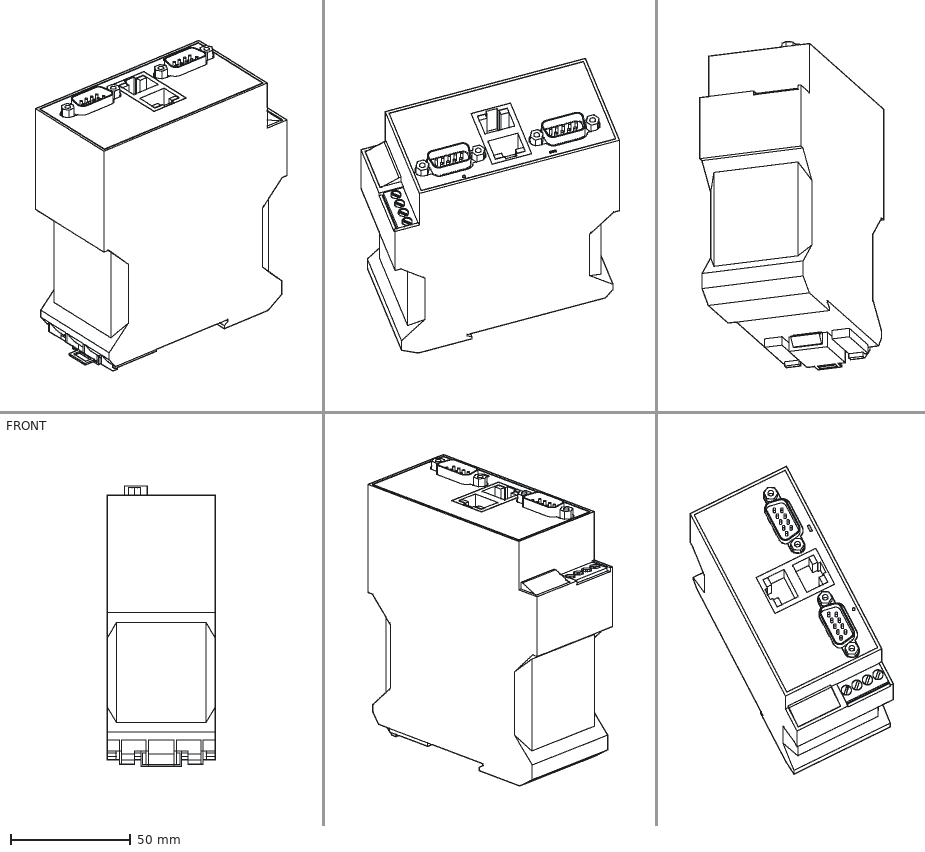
import cadquery as cq
import math

OVERLAP = 0.4

WIDTH = 45.2
DEPTH = 99.0
TOTAL_HEIGHT = 117.5
HALF_WIDTH = WIDTH / 2
ROOF_Z = 113.6
STEP_Y = 88.4
STEP_Z = 91.6
SHOULDER_Z = 64.5
SHOULDER_LEDGE = 2.6
WAIST_INSET = 13.2
WAIST_TOP_Z = 53.7
WAIST_BOTTOM_Z = 24.9
FOOT_INSET = 2.8
FOOT_TOP_Z = 14.5
FOOT_EDGE_Z = 11.0
SOLE_Z = 6.5
SOLE_FRONT_Y = 6.2
HEEL_Z = 2.7
HEEL_BACK_Y = 88.8
HEEL_EDGE_Z = 7.8
HOOK_ROOT_Y = 67.2
HOOK_TIP_Y = 65.1
HOOK_TOP_Z = 5.6
HOOK_LIP_Z = 4.2

CORE_INSET = 6.8
CORE_HALF_WIDTH = 18.8

RIM = 1.3
PANEL_SINK = 0.2
PANEL_Z = ROOF_Z - PANEL_SINK
PANEL_LENGTH = STEP_Y - 2 * RIM

DSUB_X = -11.2
DSUB_Y = (70.9, 20.5)
DSUB_FLOOR_Z = 111.9
SHELL_OFFSET = 0.6
SHELL_WIDTH = 9.6
SHELL_LONG_HALF = 9.6
SHELL_SLANT = math.radians(10)
SHELL_CORNER_RADIUS = 2.7
SHELL_WALL = 0.5
CUTOUT_MARGIN = 0.76
NUT_OFFSET = 12.3
NUT_FLATS = 4.9
NUT_TOP_Z = 116.7
NUT_HOLE_RADIUS = 1.2
EAR_RADIUS = 3.2
PIN_PITCH = 2.8
PIN_OFFSET = 0.29
PIN_COLUMN_OFFSET = 1.4
PIN_RADIUS = 0.53
PIN_TOP_Z = 116.0

SOCKET_X = -3.58
SOCKET_Y = 45.8
SOCKET_WIDTH = 28.0
SOCKET_LENGTH = 17.4
SOCKET_RAISE = 0.1
PORT_OFFSET = 6.9
PORT_WIDTH = 9.9
PORT_LENGTH = 13.2
PORT_DEPTH = 14.1
LATCH_WIDTH = 1.2
LATCH_LENGTH = 4.9
LAMP_WIDTH = 2.2
LAMP_LENGTH = 3.5
LAMP_SINK = 0.2

INDICATOR_DEPTH = 0.6
ROUND_INDICATOR = (-19.9, 67.7)
ROUND_INDICATOR_RADIUS = 0.6
BAR_INDICATOR = (-19.3, 28.2)
BAR_INDICATOR_WIDTH = 0.9
BAR_INDICATOR_LENGTH = 2.7

POCKET_BACK_Y = 97.6
POCKET_Z = 91.1
DIVIDER_HALF = 1.4
BACK_LEDGE_Z = 89.9
GAP_WIDTH = 0.5
GAP_DEPTH = 2.4
WEDGE_TOP_Z = 94.7
WEDGE_CREST_Y = 89.3
SCREW_COUNT = 4
SCREW_PITCH = 4.9
FIRST_SCREW_X = -18.7
SCREW_Y = 92.5
SCREW_RADIUS = 2.1
SCREW_SINK = 0.7
SCREW_SLOT_WIDTH = 0.9
SCREW_SLOT_DEPTH = 0.7

CLIP_BOTTOM_Z = 0.8
CLIP_FRONT_Y = 9.0
CLIP_NOTCH_Z = 5.2
SOLE_SLOPE = (SOLE_FRONT_Y - FOOT_INSET) / (FOOT_EDGE_Z - SOLE_Z)
CLIP_NOTCH_Y = SOLE_FRONT_Y + (SOLE_Z - CLIP_NOTCH_Z) * SOLE_SLOPE
NOSE_TIP_Y = 33.8
NOSE_BACK_Y = 30.9
NOSE_TOP_Z = 5.5
NOSE_TIP_Z = 4.9
NOSE_BOTTOM_Z = 1.4
SIDE_CLIP_BACK_Y = 11.4
SIDE_CLIP_INNER_X = 11.2
SIDE_CLIP_OUTER_X = 17.5
CENTRE_CLIP_HALF = 6.3
SIDE_RIB_THICKNESS = 0.8
CENTRE_RIB_THICKNESS = 1.0
GUIDE_OUTER_X = 18.9
GUIDE_FRONT_Y = 8.9
GUIDE_BACK_Y = 31.4
SLIDER_HALF = 8.6
SLIDER_WALL = 0.8
SLIDER_FRONT_Y = 8.5
SLIDER_BACK_Y = 30.1
SLIDER_BORE_DEPTH = 5.9
TAB_FRONT_Y = 4.0
TAB_HALF_WIDTH = 5.3
TAB_BAR = 1.4
TAB_THICKNESS = SLIDER_WALL


def box(x0, x1, y0, y1, z0, z1):
    """Box between opposite corners."""
    return cq.Workplane("XY").box(x1 - x0, y1 - y0, z1 - z0, centered=False).translate((x0, y0, z0))


def side_plate(points, x0, x1):
    """Outline of (y, z) points extruded from x0 to x1."""
    return cq.Workplane("YZ").workplane(offset=x0).polyline(points).close().extrude(x1 - x0)


def make_housing():
    outline = [
        (0, ROOF_Z),
        (0, SHOULDER_Z),
        (SHOULDER_LEDGE, SHOULDER_Z),
        (WAIST_INSET, WAIST_TOP_Z),
        (WAIST_INSET, WAIST_BOTTOM_Z),
        (FOOT_INSET, FOOT_TOP_Z),
        (FOOT_INSET, FOOT_EDGE_Z),
        (SOLE_FRONT_Y, SOLE_Z),
        (HOOK_ROOT_Y, SOLE_Z),
        (HOOK_ROOT_Y, HOOK_TOP_Z),
        (HOOK_TIP_Y, HOOK_LIP_Z),
        (HOOK_TIP_Y, HEEL_Z),
        (HEEL_BACK_Y, HEEL_Z),
        (DEPTH - FOOT_INSET, HEEL_EDGE_Z),
        (DEPTH - FOOT_INSET, FOOT_TOP_Z),
        (DEPTH - WAIST_INSET, WAIST_BOTTOM_Z),
        (DEPTH - WAIST_INSET, WAIST_TOP_Z),
        (DEPTH - SHOULDER_LEDGE, SHOULDER_Z),
        (DEPTH, SHOULDER_Z),
        (DEPTH, STEP_Z),
        (STEP_Y, STEP_Z),
        (STEP_Y, ROOF_Z),
    ]
    core_outline = [
        (-CORE_HALF_WIDTH, CORE_INSET),
        (CORE_HALF_WIDTH, CORE_INSET),
        (HALF_WIDTH, WAIST_INSET),
        (HALF_WIDTH, DEPTH - WAIST_INSET),
        (CORE_HALF_WIDTH, DEPTH - CORE_INSET),
        (-CORE_HALF_WIDTH, DEPTH - CORE_INSET),
        (-HALF_WIDTH, DEPTH - WAIST_INSET),
        (-HALF_WIDTH, WAIST_INSET),
    ]
    core = (
        cq.Workplane("XY").workplane(offset=FOOT_TOP_Z)
        .polyline(core_outline).close().extrude(SHOULDER_Z - FOOT_TOP_Z)
    )
    panel = box(RIM - HALF_WIDTH, HALF_WIDTH - RIM, RIM, RIM + PANEL_LENGTH, PANEL_Z, ROOF_Z)
    return side_plate(outline, -HALF_WIDTH, HALF_WIDTH).union(core).cut(panel)


def d_prism(x, y, margin, z0, z1):
    """D-shaped prism, longer on the +X side, grown outwards by margin."""
    half = SHELL_WIDTH / 2 + margin
    slope = math.tan(SHELL_SLANT)
    middle_half = SHELL_LONG_HALF - SHELL_WIDTH / 2 * slope + margin / math.cos(SHELL_SLANT)
    long_half = middle_half + half * slope
    short_half = middle_half - half * slope
    outline = [(-half, -short_half), (half, -long_half), (half, long_half), (-half, short_half)]
    prism = cq.Workplane("XY").polyline(outline).close().extrude(z1 - z0)
    prism = prism.edges("|Z").fillet(SHELL_CORNER_RADIUS + margin)
    return prism.translate((x, y, z0))


def add_dsub(body, y):
    height = TOTAL_HEIGHT - DSUB_FLOOR_Z
    nut_points = [(DSUB_X, y - NUT_OFFSET), (DSUB_X, y + NUT_OFFSET)]
    base = cq.Workplane("XY").workplane(offset=DSUB_FLOOR_Z)

    ears = base.center(DSUB_X, y).slot2D(2 * (NUT_OFFSET + EAR_RADIUS), 2 * EAR_RADIUS, 90).extrude(height)
    body = body.cut(d_prism(DSUB_X, y, CUTOUT_MARGIN, DSUB_FLOOR_Z, TOTAL_HEIGHT)).cut(ears)

    shell_x = DSUB_X + SHELL_OFFSET
    root_z = DSUB_FLOOR_Z - OVERLAP
    shell = d_prism(shell_x, y, 0, root_z, TOTAL_HEIGHT)
    shell_bore = d_prism(shell_x, y, -SHELL_WALL, DSUB_FLOOR_Z, TOTAL_HEIGHT)
    body = body.union(shell.cut(shell_bore))

    nut_base = cq.Workplane("XY").workplane(offset=root_z)
    nut_height = NUT_TOP_Z - root_z
    nut_corners = NUT_FLATS / math.cos(math.pi / 6)
    nut = nut_base.polygon(6, nut_corners).circle(NUT_HOLE_RADIUS).extrude(nut_height)
    nut = nut.rotate((0, 0, 0), (0, 0, 1), 90)
    for x, nut_y in nut_points:
        body = body.union(nut.translate((x, nut_y, 0)))

    pin_points = []
    for side, count in ((-1, 4), (1, 5)):
        for i in range(count):
            pin_y = y + (i - (count - 1) / 2) * PIN_PITCH
            pin_points.append((DSUB_X + PIN_OFFSET + side * PIN_COLUMN_OFFSET, pin_y))
    pins = nut_base.pushPoints(pin_points).circle(PIN_RADIUS).extrude(PIN_TOP_Z - root_z)
    return body.union(pins)


def add_network_socket(body):
    top_z = PANEL_Z + SOCKET_RAISE
    floor_z = top_z - PORT_DEPTH
    half_length = PORT_LENGTH / 2
    body = body.union(
        box(
            SOCKET_X - SOCKET_WIDTH / 2, SOCKET_X + SOCKET_WIDTH / 2,
            SOCKET_Y - SOCKET_LENGTH / 2, SOCKET_Y + SOCKET_LENGTH / 2,
            PANEL_Z - OVERLAP, top_z,
        )
    )
    inner_x = PORT_OFFSET - PORT_WIDTH / 2
    outer_x = PORT_OFFSET + PORT_WIDTH / 2
    port = box(inner_x, outer_x, -half_length, half_length, floor_z, top_z)
    port = port.union(
        box(outer_x - OVERLAP, outer_x + LATCH_WIDTH, -LATCH_LENGTH / 2, LATCH_LENGTH / 2, floor_z, top_z)
    )
    for y0 in (-half_length, half_length - LAMP_LENGTH):
        lamp = box(outer_x - LAMP_WIDTH, outer_x, y0, y0 + LAMP_LENGTH, floor_z, top_z - LAMP_SINK)
        port = port.cut(lamp)
    for cutter in (port, port.mirror("YZ")):
        body = body.cut(cutter.translate((SOCKET_X, SOCKET_Y, 0)))
    return body


def cut_indicators(body):
    base = cq.Workplane("XY").workplane(offset=PANEL_Z - INDICATOR_DEPTH)
    dot = base.center(*ROUND_INDICATOR).circle(ROUND_INDICATOR_RADIUS).extrude(INDICATOR_DEPTH)
    bar = base.center(*BAR_INDICATOR).rect(BAR_INDICATOR_WIDTH, BAR_INDICATOR_LENGTH).extrude(INDICATOR_DEPTH)
    return body.cut(dot).cut(bar)


def add_terminal_step(body):
    inner_x = HALF_WIDTH - RIM
    body = body.cut(box(-inner_x, -DIVIDER_HALF, STEP_Y, POCKET_BACK_Y, POCKET_Z, STEP_Z))
    body = body.cut(box(-inner_x, -DIVIDER_HALF, POCKET_BACK_Y, DEPTH, BACK_LEDGE_Z, STEP_Z))
    gap_z = POCKET_Z - GAP_DEPTH
    body = body.cut(
        box(-inner_x, -DIVIDER_HALF, POCKET_BACK_Y - GAP_WIDTH, POCKET_BACK_Y, gap_z, POCKET_Z)
    )

    points = [(FIRST_SCREW_X + i * SCREW_PITCH, SCREW_Y) for i in range(SCREW_COUNT)]
    head_z = POCKET_Z - SCREW_SINK
    heads = (
        cq.Workplane("XY").workplane(offset=head_z)
        .pushPoints(points).circle(SCREW_RADIUS).extrude(SCREW_SINK)
    )
    slots = (
        cq.Workplane("XY").workplane(offset=head_z - SCREW_SLOT_DEPTH)
        .pushPoints(points).slot2D(2 * SCREW_RADIUS, SCREW_SLOT_WIDTH, 45).extrude(SCREW_SLOT_DEPTH)
    )
    body = body.cut(heads).cut(slots)

    body = body.cut(box(DIVIDER_HALF, inner_x, STEP_Y, POCKET_BACK_Y, POCKET_Z, STEP_Z))
    wedge = [
        (POCKET_BACK_Y, POCKET_Z - OVERLAP),
        (POCKET_BACK_Y, POCKET_Z),
        (WEDGE_CREST_Y, WEDGE_TOP_Z),
        (STEP_Y - OVERLAP, WEDGE_TOP_Z),
        (STEP_Y - OVERLAP, POCKET_Z - OVERLAP),
    ]
    return body.union(side_plate(wedge, DIVIDER_HALF, inner_x))


def add_rail_clip(body):
    root_z = SOLE_Z + OVERLAP
    clip_front = [
        (SOLE_FRONT_Y, root_z),
        (SOLE_FRONT_Y, SOLE_Z),
        (CLIP_NOTCH_Y, CLIP_NOTCH_Z),
        (CLIP_FRONT_Y, CLIP_NOTCH_Z),
        (CLIP_FRONT_Y, CLIP_BOTTOM_Z),
    ]
    latch_back = [
        (SLIDER_BACK_Y, CLIP_BOTTOM_Z),
        (SLIDER_BACK_Y, NOSE_BOTTOM_Z),
        (NOSE_BACK_Y, NOSE_BOTTOM_Z),
        (NOSE_TIP_Y, NOSE_TIP_Z),
        (NOSE_TIP_Y - (NOSE_TOP_Z - NOSE_TIP_Z), NOSE_TOP_Z),
        (GUIDE_BACK_Y, NOSE_TOP_Z),
        (GUIDE_BACK_Y, root_z),
    ]
    lip_back = [(SIDE_CLIP_BACK_Y, CLIP_BOTTOM_Z), (SIDE_CLIP_BACK_Y, root_z)]
    rib = [
        (FOOT_INSET, FOOT_EDGE_Z),
        (FOOT_INSET, SOLE_Z),
        (CLIP_FRONT_Y, CLIP_BOTTOM_Z),
        (CLIP_FRONT_Y + OVERLAP, CLIP_BOTTOM_Z),
        (CLIP_FRONT_Y + OVERLAP, FOOT_EDGE_Z),
    ]
    body = body.union(side_plate(clip_front + latch_back, -CENTRE_CLIP_HALF, CENTRE_CLIP_HALF))
    side_clip = side_plate(clip_front + lip_back, SIDE_CLIP_INNER_X, SIDE_CLIP_OUTER_X)
    side_rib = side_plate(rib, SIDE_CLIP_OUTER_X - SIDE_RIB_THICKNESS, SIDE_CLIP_OUTER_X)
    centre_rib = side_plate(rib, CENTRE_CLIP_HALF - CENTRE_RIB_THICKNESS, CENTRE_CLIP_HALF)
    guide = box(SIDE_CLIP_INNER_X, GUIDE_OUTER_X, GUIDE_FRONT_Y, GUIDE_BACK_Y, HEEL_Z, root_z)
    for piece in (side_clip, guide, side_rib, centre_rib):
        body = body.union(piece).union(piece.mirror("YZ"))

    slider = box(-SLIDER_HALF, SLIDER_HALF, SLIDER_FRONT_Y, SLIDER_BACK_Y, 0, SOLE_Z)
    bore_half = SLIDER_HALF - SLIDER_WALL
    bore_back_y = SLIDER_FRONT_Y + SLIDER_BORE_DEPTH
    bore_top_z = SOLE_Z - SLIDER_WALL
    slider = slider.cut(
        box(-bore_half, bore_half, SLIDER_FRONT_Y, bore_back_y, SLIDER_WALL, bore_top_z)
    )
    tab_back_y = SLIDER_FRONT_Y + OVERLAP
    tab = box(-TAB_HALF_WIDTH, TAB_HALF_WIDTH, TAB_FRONT_Y, tab_back_y, 0, TAB_THICKNESS)
    loop_half = TAB_HALF_WIDTH - TAB_BAR
    tab = tab.cut(
        box(-loop_half, loop_half, TAB_FRONT_Y + TAB_BAR, SLIDER_FRONT_Y, 0, TAB_THICKNESS)
    )
    return body.union(slider).union(tab)


result = make_housing()
for dsub_y in DSUB_Y:
    result = add_dsub(result, dsub_y)
result = add_network_socket(result)
result = cut_indicators(result)
result = add_terminal_step(result)
result = add_rail_clip(result)